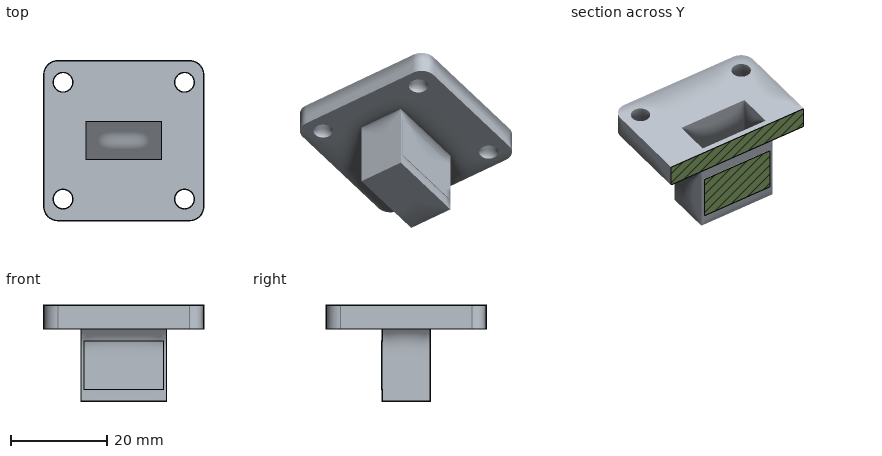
import cadquery as cq

flange_side = 33.35
flange_thickness = 5.0
corner_radius = 3.0

hole_diameter = 4.05
hole_spacing_x = 25.28
hole_spacing_y = 24.3

total_height = 20.0
body_width = 17.88
body_depth = 10.0
body_height = total_height - flange_thickness

cavity_width = 15.8
cavity_depth = 7.9
floor_thickness = (body_depth - cavity_depth) / 2

label_width = 16.55
label_height = 10.07
label_relief = 0.1
label_center_z = body_height / 2


def make_flange():
    """Rounded square plate with four through holes."""
    return (
        cq.Workplane("XY")
        .workplane(offset=body_height)
        .rect(flange_side, flange_side)
        .extrude(flange_thickness)
        .edges("|Z")
        .fillet(corner_radius)
        .faces(">Z")
        .workplane()
        .rect(hole_spacing_x, hole_spacing_y, forConstruction=True)
        .vertices()
        .hole(hole_diameter)
    )


def make_block(width, depth, bottom, top):
    """Box centred on the Z axis between two heights."""
    return cq.Workplane("XY").workplane(offset=bottom).rect(width, depth).extrude(top - bottom)


def make_label_pad():
    """Thin slab standing out from the front face of the body."""
    return cq.Workplane("XY").box(label_width, 2 * label_relief, label_height).translate(
        (0, -body_depth / 2, label_center_z)
    )


body = make_block(body_width, body_depth, 0, body_height)
cavity = make_block(cavity_width, cavity_depth, floor_thickness, total_height)
result = make_flange().union(body).union(make_label_pad()).cut(cavity)